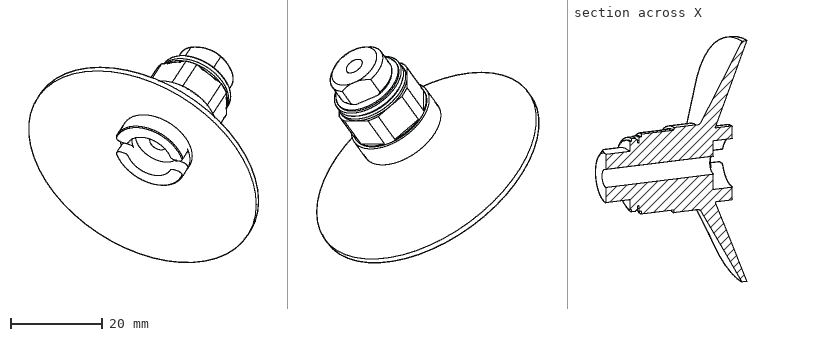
import cadquery as cq
import math

total_length = 33.9
bore_diameter = 4.0

rim_radius = 27.5
rim_width = 1.25
cone_top_radius = 10.25
cone_top = 11.05
sleeve_radius = 19.5 / 2
sleeve_start = 12.4
sleeve_end = 17.6
cavity_depth = 7.6

shoulder_end = 17.9
hex_round_radius = 18.3 / 2
hex_across_flats = 17.0
hex_end = 25.4
collar_radius = hex_across_flats / 2
collar_end = 25.95

groove_radius = 14.4 / 2
groove_end = 26.2
ring_radius = 16.8 / 2
ring_step_radius = 15.6 / 2
ring_bevel = ring_radius - ring_step_radius
ring_end = 27.8
ring_step_end = 28.15

stud_radius = 6.6
stud_base_radius = 6.2
stud_start = 28.75
stud_chamfer = 1.0
stud_across_flats = 11.1

boss_radius = hex_across_flats / 2
boss_front = 3.5
boss_chamfer = 0.2
slot_floor = 6.4
slot_width = 3.15
jaw_outer_rounding = 1.1
jaw_inner_rounding = 0.8
corner_margin = 0.05
pocket_diameter = 11
pocket_floor = 8.1


def cylinder(diameter, start, end):
    """Solid cylinder on the Y axis between two Y positions."""
    return cq.Workplane("XZ", origin=(0, start, 0)).circle(diameter / 2).extrude(start - end)


def make_revolved_body():
    """Outer profile, conical cup cavity and base of the boss; profile points are (X, Y)."""
    profile = (
        cq.Workplane("XY")
        .moveTo(0, slot_floor)
        .lineTo(boss_radius, slot_floor)
        .lineTo(boss_radius, cavity_depth)
        .lineTo(rim_radius, 0)
        .lineTo(rim_radius, rim_width)
        .lineTo(cone_top_radius, cone_top)
        .tangentArcPoint((sleeve_radius, sleeve_start), relative=False)
        .lineTo(sleeve_radius, sleeve_end)
        .lineTo(hex_round_radius, sleeve_end)
        .lineTo(hex_round_radius, hex_end)
        .lineTo(collar_radius, hex_end)
        .lineTo(collar_radius, collar_end)
        .lineTo(groove_radius, collar_end)
        .lineTo(groove_radius, groove_end)
        .lineTo(ring_step_radius, groove_end)
        .lineTo(ring_radius, groove_end + ring_bevel)
        .lineTo(ring_radius, ring_end)
        .lineTo(ring_step_radius, ring_end)
        .lineTo(ring_step_radius, ring_step_end)
        .lineTo(stud_base_radius, ring_step_end)
        .lineTo(stud_radius, stud_start)
        .lineTo(stud_radius, total_length - stud_chamfer)
        .lineTo(stud_radius - stud_chamfer, total_length)
        .lineTo(0, total_length)
        .close()
    )
    return profile.revolve(360, (0, 0, 0), (0, 1, 0))


def make_hex_waste():
    """Material outside the six flats, with two of the flats facing +X and -X."""
    corner_diameter = hex_across_flats / math.cos(math.pi / 6)
    plane = cq.Workplane("XZ", origin=(0, shoulder_end, 0)).transformed(rotate=(0, 0, 30))
    hexagon = plane.polygon(6, corner_diameter).extrude(shoulder_end - hex_end)
    return cylinder(3 * hex_round_radius, shoulder_end, hex_end).cut(hexagon)


def make_stud_waste():
    """Material outside the two wrench flats, which face +Z and -Z."""
    length = total_length - ring_step_end
    middle = (ring_step_end + total_length) / 2
    between_flats = cq.Workplane("XY").box(3 * stud_radius, length, stud_across_flats)
    between_flats = between_flats.translate((0, middle, 0))
    return cylinder(3 * stud_radius, ring_step_end, total_length).cut(between_flats)


def make_jaws():
    """C-shaped jaws left by a slot along X, with rounded ends."""
    jaws = cylinder(2 * boss_radius, boss_front, slot_floor)
    jaws = jaws.faces("<Y").chamfer(boss_chamfer)
    slot = cq.Workplane("XY").box(3 * boss_radius, 2 * slot_floor, slot_width)
    jaws = jaws.cut(slot)
    jaws = jaws.edges("|Y").fillet(jaw_outer_rounding)
    jaws = jaws.cut(cylinder(pocket_diameter, 0, slot_floor))
    inner_corner_x = math.sqrt(pocket_diameter**2 - slot_width**2) / 2
    inner_corners = cq.selectors.BoxSelector(
        (-inner_corner_x - corner_margin, 0, -slot_width / 2 - corner_margin),
        (inner_corner_x + corner_margin, slot_floor, slot_width / 2 + corner_margin),
    )
    return jaws.edges("|Y").edges(inner_corners).fillet(jaw_inner_rounding)


result = make_revolved_body().cut(make_hex_waste()).cut(make_stud_waste())
result = result.union(make_jaws())
result = result.cut(cylinder(pocket_diameter, 0, pocket_floor))
result = result.cut(cylinder(bore_diameter, 0, total_length))